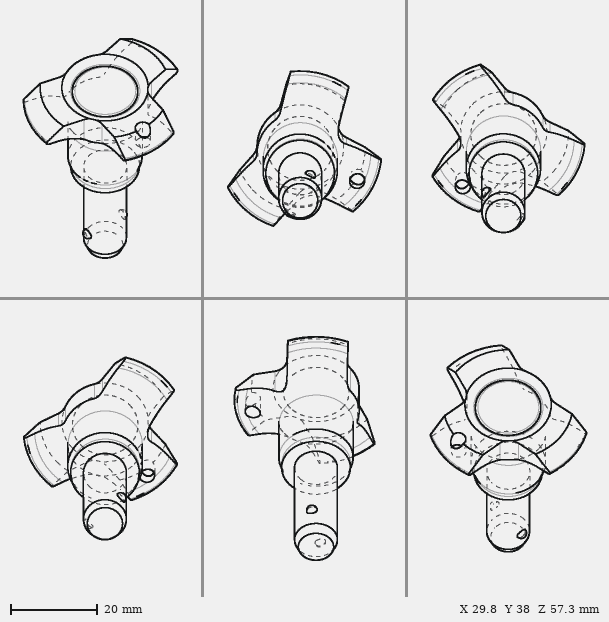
import cadquery as cq
import math


pin_radius = 5.0
pin_length = 28.6
pin_tip_radius = 4.1
pin_tip_length = 2.5
ball_radius = 1.25
ball_reach = 6.05
ball_height = -21.1

handle_height = 28.7
collar_radius = 8.0
collar_height = 1.6
body_radius = 8.65
body_start_height = 3.7

hub_radius = 10.05
wing_radius = 19.0
wing_thickness = 4.9
wing_half_width = 7.0
side_wing_angle = 103.0
wing_blend_radius = 3.5
rim_round_radius = 0.7
bevel_angle = 45.0
flare_radius = 7.75
lanyard_hole_diameter = 3.5
lanyard_hole_x = 15.0

dish_inner_radius = 8.05
dish_depth = 1.15
button_radius = 7.65
button_edge_radius = 0.55
button_face_depth = 1.1
dish_foot_drop = 0.28
button_dome_rise = 0.6

underside_height = handle_height - wing_thickness
flare_start_height = underside_height - flare_radius
flare_centre_radius = body_radius + flare_radius
rim_centre_radius = wing_radius - rim_round_radius
rim_centre_height = underside_height + rim_round_radius
dish_inner_height = handle_height - dish_depth
dish_foot_height = dish_inner_height - dish_foot_drop
button_face_radius = button_radius - button_edge_radius
button_face_height = handle_height - button_face_depth


def polar(radius, angle):
    """XY point at the given radius and angle in degrees."""
    turn = math.radians(angle)
    return (radius * math.cos(turn), radius * math.sin(turn))


def arc_point(centre, radius, angle):
    """Point on a circle about any centre, at the given angle in degrees."""
    dx, dy = polar(radius, angle)
    return (centre[0] + dx, centre[1] + dy)


def revolve_profile(profile):
    """Turn a closed XZ profile (radius, height) a full turn about Z."""
    return profile.close().revolve(360, (0, 0, 0), (0, 1, 0))


def make_handle_blank():
    """Collar, body, flare and a full disc head before the wings are cut out."""
    flare_centre = (flare_centre_radius, flare_start_height)
    rim_centre = (rim_centre_radius, rim_centre_height)
    bevel_end = arc_point(rim_centre, rim_round_radius, 90 - bevel_angle)
    bevel_rise = handle_height - bevel_end[1]
    bevel_top_radius = bevel_end[0] - bevel_rise / math.tan(math.radians(bevel_angle))
    profile = (
        cq.Workplane("XZ")
        .lineTo(collar_radius, 0)
        .lineTo(collar_radius, collar_height)
        .lineTo(body_radius, body_start_height)
        .lineTo(body_radius, flare_start_height)
        .threePointArc(
            arc_point(flare_centre, flare_radius, 135),
            (flare_centre_radius, underside_height),
        )
        .lineTo(rim_centre_radius, underside_height)
        .threePointArc(
            arc_point(rim_centre, rim_round_radius, -45),
            (wing_radius, rim_centre_height),
        )
        .threePointArc(arc_point(rim_centre, rim_round_radius, (90 - bevel_angle) / 2), bevel_end)
        .lineTo(bevel_top_radius, handle_height)
        .lineTo(0, handle_height)
    )
    return revolve_profile(profile)


def make_wing_outline():
    """Prism of the three-winged outline, from the flare start to the top of the head."""
    wall_shift = wing_half_width + wing_blend_radius

    front_angle = side_wing_angle / 2
    front_distance = wall_shift / math.sin(math.radians(front_angle))
    front_centre = polar(front_distance, front_angle)

    hub_distance = hub_radius + wing_blend_radius
    hub_blend_angle = side_wing_angle + math.degrees(math.asin(wall_shift / hub_distance))
    hub_centre = polar(hub_distance, hub_blend_angle)
    hub_touch = polar(hub_radius, hub_blend_angle)

    tip_length = wing_radius + wing_half_width
    side_tip = polar(tip_length, side_wing_angle)
    side_normal = side_wing_angle + 90
    inner_wall_tip = arc_point(side_tip, wing_half_width, side_normal + 180)
    outer_wall_tip = arc_point(side_tip, wing_half_width, side_normal)

    front_touch = arc_point(front_centre, wing_blend_radius, -90)
    front_middle = arc_point(front_centre, wing_blend_radius, front_angle + 180)
    inner_touch = arc_point(front_centre, wing_blend_radius, side_normal)
    outer_touch = arc_point(hub_centre, wing_blend_radius, side_normal + 180)
    hub_side = hub_blend_angle + 180
    outer_middle = arc_point(hub_centre, wing_blend_radius, (hub_side + side_normal + 180) / 2)

    def mirrored(point):
        return (point[0], -point[1])

    return (
        cq.Workplane("XY")
        .workplane(offset=flare_start_height)
        .moveTo(tip_length, -wing_half_width)
        .lineTo(tip_length, wing_half_width)
        .lineTo(*front_touch)
        .threePointArc(front_middle, inner_touch)
        .lineTo(*inner_wall_tip)
        .lineTo(*outer_wall_tip)
        .lineTo(*outer_touch)
        .threePointArc(outer_middle, hub_touch)
        .threePointArc((-hub_radius, 0), mirrored(hub_touch))
        .threePointArc(mirrored(outer_middle), mirrored(outer_touch))
        .lineTo(*mirrored(outer_wall_tip))
        .lineTo(*mirrored(inner_wall_tip))
        .lineTo(*mirrored(inner_touch))
        .threePointArc(mirrored(front_middle), mirrored(front_touch))
        .close()
        .extrude(handle_height - flare_start_height)
    )


def make_handle():
    """Blank trimmed to the wing outline above the flare start."""
    blank = make_handle_blank()
    lower_body = (
        cq.Workplane("XY")
        .circle(wing_radius)
        .extrude(flare_start_height)
    )
    return blank.intersect(lower_body.union(make_wing_outline()))


def make_dish():
    """Conical recess in the top of the head with a steeper foot around the button."""
    profile = (
        cq.Workplane("XZ")
        .moveTo(0, dish_foot_height)
        .lineTo(button_radius, dish_foot_height)
        .lineTo(dish_inner_radius, dish_inner_height)
        .lineTo(hub_radius, handle_height)
        .lineTo(0, handle_height)
    )
    return revolve_profile(profile)


def make_button():
    """Low domed button with a rounded edge, standing in the dish."""
    edge_centre = (button_face_radius, button_face_height - button_edge_radius)
    dome_top = button_face_height + button_dome_rise
    dome_radius = (button_face_radius**2 + button_dome_rise**2) / (2 * button_dome_rise)
    half_face = button_face_radius / 2
    dome_middle_drop = dome_radius - math.sqrt(dome_radius**2 - half_face**2)
    profile = (
        cq.Workplane("XZ")
        .moveTo(0, underside_height)
        .lineTo(button_radius, underside_height)
        .lineTo(button_radius, edge_centre[1])
        .threePointArc(
            arc_point(edge_centre, button_edge_radius, 45),
            (button_face_radius, button_face_height),
        )
        .threePointArc((half_face, dome_top - dome_middle_drop), (0, dome_top))
    )
    return revolve_profile(profile)


def make_pin():
    """Straight pin with a tapered tip and two locking balls on the Y axis."""
    profile = (
        cq.Workplane("XZ")
        .lineTo(0, -pin_length)
        .lineTo(pin_tip_radius, -pin_length)
        .lineTo(pin_radius, pin_tip_length - pin_length)
        .lineTo(pin_radius, 0)
    )
    pin = revolve_profile(profile)
    for side in (-1, 1):
        ball_y = side * (ball_reach - ball_radius)
        ball = cq.Workplane("XY").sphere(ball_radius).translate((0, ball_y, ball_height))
        pin = pin.union(ball)
    return pin


def make_lanyard_hole():
    """Vertical through hole in the +X wing."""
    return (
        cq.Workplane("XY")
        .center(lanyard_hole_x, 0)
        .circle(lanyard_hole_diameter / 2)
        .extrude(handle_height)
    )


handle = make_handle().cut(make_dish()).cut(make_lanyard_hole())
result = handle.union(make_button()).union(make_pin())